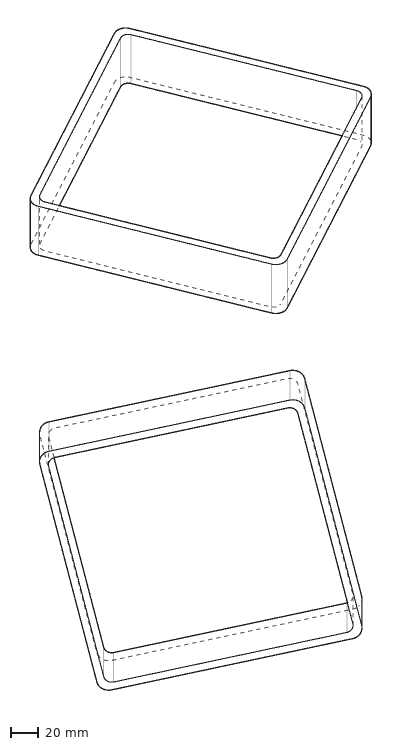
import cadquery as cq

side = 200.0
height = 50.0
wall = 6.0
outer_radius = 9.0
inner_radius = 6.0


def rounded_square_block(width, corner_radius):
    """Square block standing on the XY plane with rounded vertical edges."""
    block = cq.Workplane("XY").rect(width, width).extrude(height)
    return block.edges("|Z").fillet(corner_radius)


outer_block = rounded_square_block(side, outer_radius)
opening = rounded_square_block(side - 2 * wall, inner_radius)

result = outer_block.cut(opening)